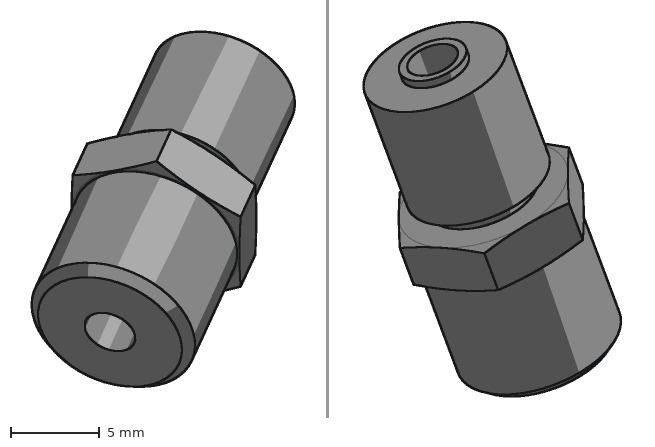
import cadquery as cq
import math


thread_length = 8.0
hex_length = 3.0
neck_length = 1.0
sleeve_length = 8.0
tip_length = 0.5

thread_diameter = 9.73
thread_end_diameter = 8.566
neck_diameter = 6.5
sleeve_diameter = 8.5
tip_diameter = 4.0
bore_diameter = 3.0

hex_sides = 6
hex_across_flats = 10.0
hex_across_corners = hex_across_flats / math.cos(math.pi / hex_sides)
hex_chamfer_angle = 15.0

hex_start = thread_length
neck_start = hex_start + hex_length
sleeve_start = neck_start + neck_length
tip_start = sleeve_start + sleeve_length
total_length = tip_start + tip_length


def plane_at(y):
    """Sketch plane normal to the axis, facing +Y, with its local x along Z."""
    return cq.Plane(origin=(0, y, 0), xDir=(0, 0, 1), normal=(0, 1, 0))


def cylinder(start, length, diameter):
    return cq.Workplane(plane_at(start)).circle(diameter / 2).extrude(length)


def make_thread_end():
    """Plain thread envelope with a 45 degree lead-in chamfer."""
    chamfer = (thread_diameter - thread_end_diameter) / 2
    return cylinder(0, thread_length, thread_diameter).faces("<Y").chamfer(chamfer)


def make_hexagon():
    """Hexagon with the corners of both end faces turned down to a shallow cone."""
    blank = cq.Workplane(plane_at(hex_start)).polygon(hex_sides, hex_across_corners).extrude(hex_length)
    face_radius = hex_across_flats / 2
    corner_radius = hex_across_corners / 2
    chamfer_depth = (corner_radius - face_radius) * math.tan(math.radians(hex_chamfer_angle))
    envelope = (
        cq.Workplane("XY")
        .moveTo(0, hex_start)
        .lineTo(face_radius, hex_start)
        .lineTo(corner_radius, hex_start + chamfer_depth)
        .lineTo(corner_radius, neck_start - chamfer_depth)
        .lineTo(face_radius, neck_start)
        .lineTo(0, neck_start)
        .close()
        .revolve(360, (0, 0, 0), (0, 1, 0))
    )
    return blank.intersect(envelope)


result = (
    make_thread_end()
    .union(make_hexagon())
    .union(cylinder(neck_start, neck_length, neck_diameter))
    .union(cylinder(sleeve_start, sleeve_length, sleeve_diameter))
    .union(cylinder(tip_start, tip_length, tip_diameter))
    .cut(cylinder(0, total_length, bore_diameter))
)